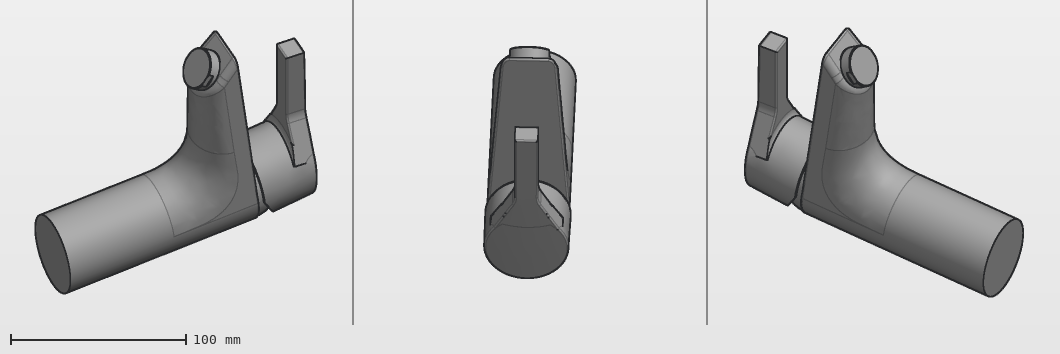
import cadquery as cq
import math

barrel_radius = 23.55
barrel_tilt = 5.0
barrel_length = 119.6
side_taper = 4.3
flat_side_depth = 10.4
spout_front_y = 87.2
throat_radius = 26.0
throat_steps = 6
throat_flat_bulge = 8.0
outlet_slope = 50.5
outlet_point = (106.6, 118.9)
outlet_edge_radius = 4.5
back_edge_radius = 1.0
section_reach = 85.0
neck_margin = 10.0
oversize = 200.0

aerator_radius = 11.9
aerator_length = 8.0
aerator_rise = 35.0
aerator_face_centre = (90.7, 109.8)
aerator_flat_width = 22.4
aerator_flat_length = 3.6
aerator_chamfer = 0.5

ball_radius = 23.0
ball_station = 118.5

handle_tilt = 9.5
handle_mouth_radius = 24.54
handle_back_radius = 24.1
handle_length = 42.0
handle_back_inset = 3.0
mouth_top = (120.3, 35.5)
mouth_kink = (122.4, 10.8)
mouth_bottom = (134.8, -11.8)
handle_back_y = 156.76
back_sag = 0.7
back_bow_radius = 270.0
back_trim_margin = 10.0
handle_back_edge_radius = 1.0
lever_top = 101.1
handle_top_z = 37.8
lever_width = 13.2
lever_front_y = 144.2
lever_edge_radius = 1.0
flare_angle = 29.0
flare_inset = 0.4
flare_radius = 12.0
heel_radius = 6.5
heel_overlap = 2.0


def tilted(along, across, tilt):
    """(Y, Z) of a point given along and across an axis tilted up toward +Y."""
    angle = math.radians(tilt)
    return (along * math.cos(angle) - across * math.sin(angle),
            along * math.sin(angle) + across * math.cos(angle))


def barrel_point(along, across):
    return tilted(along, across, barrel_tilt)


def barrel_coordinates(y, z):
    return tilted(y, z, -barrel_tilt)


def side_block(points):
    """Prism across the full width with the given (Y, Z) outline."""
    return cq.Workplane("YZ").polyline(points).close().extrude(oversize, both=True)


def axis_plane(y, z, tilt):
    """Plane whose normal runs along an axis tilted up toward +Y."""
    angle = math.radians(tilt)
    return cq.Plane(origin=(0, y, z), xDir=(1, 0, 0), normal=(0, math.cos(angle), math.sin(angle)))


def facing(y, z):
    """Selector for flat faces whose outward normal is (0, y, z)."""
    return cq.selectors.DirectionSelector(cq.Vector(0, y, z), 1e-3)


taper = math.radians(side_taper)
tangent_height = barrel_radius * math.sin(taper)
band_edge = barrel_length - flat_side_depth
throat_y = spout_front_y - throat_radius
throat_z = ((barrel_radius + throat_radius + throat_y * math.sin(math.radians(barrel_tilt)))
            / math.cos(math.radians(barrel_tilt)))
ball_centre = barrel_point(ball_station, 0)
throat_turn = 90 - barrel_tilt
throat_along = barrel_coordinates(throat_y, throat_z)[0]
barrel_flat_start = barrel_radius + throat_radius - tangent_height


def side_half_width(across):
    return (barrel_radius - across * math.sin(taper)) / math.cos(taper)


def spout_section(z, turn):
    """D-shaped wire: an elliptic front running tangent into the two flat sides.

    Its plane holds the X direction and a ray that leaves the throat line at height z,
    turned down from +Y by the given angle.
    """
    ray_y = math.cos(math.radians(turn))
    ray_z = -math.sin(math.radians(turn))
    across = barrel_coordinates(throat_y, z)[1]
    ray_across = barrel_coordinates(ray_y, ray_z)[1]

    def half_width(distance):
        return side_half_width(across + distance * ray_across)

    neck_flat_start = ((band_edge - barrel_coordinates(throat_y, z)[0])
                       / math.cos(math.radians(barrel_tilt)))
    progress = turn / throat_turn
    flat_start = (neck_flat_start + (barrel_flat_start - neck_flat_start) * progress
                  + throat_flat_bulge * math.sin(math.pi * progress) ** 2)
    depth = flat_start - throat_radius
    slope = -math.tan(taper) * ray_across
    end_sine = slope * depth / (half_width(flat_start) - slope * depth)
    end_angle = math.asin(end_sine)
    semi_width = half_width(flat_start) / math.cos(end_angle)
    semi_depth = depth / (1 - end_sine)
    end_degrees = math.degrees(end_angle)
    plane = cq.Plane(origin=(0, throat_y, z), xDir=(1, 0, 0), normal=(0, -ray_z, ray_y))
    back_width = half_width(section_reach)
    return (cq.Workplane(plane)
            .moveTo(back_width, section_reach)
            .lineTo(half_width(flat_start), flat_start)
            .ellipseArc(semi_width, semi_depth, end_degrees - 180, -end_degrees, sense=-1)
            .lineTo(-back_width, section_reach)
            .close()
            .val())


def make_spout():
    turns = [throat_turn * i / throat_steps for i in range(throat_steps + 1)]
    throat = cq.Solid.makeLoft([spout_section(throat_z, turn) for turn in turns], False)
    neck_top = outlet_point[1] + neck_margin
    neck = cq.Solid.makeLoft([spout_section(throat_z, 0), spout_section(neck_top, 0)], True)
    trim = side_block([barrel_point(throat_along, tangent_height),
                       barrel_point(barrel_length, tangent_height),
                       barrel_point(barrel_length, oversize),
                       barrel_point(throat_along, oversize)])
    spout = cq.Workplane(throat).union(cq.Workplane(neck)).intersect(trim)

    slope = math.radians(outlet_slope)
    y, z = outlet_point
    low = (y - oversize * math.cos(slope), z - oversize * math.sin(slope))
    high = (y + oversize * math.cos(slope), z + oversize * math.sin(slope))
    return spout.cut(side_block([low, high, (low[0], high[1])]))


def make_housing():
    start = -barrel_radius
    barrel = (cq.Workplane(axis_plane(*barrel_point(start, 0), barrel_tilt))
              .circle(barrel_radius).extrude(barrel_length - start))
    barrel = barrel.cut(cq.Workplane("XZ").rect(oversize, oversize).extrude(oversize))
    housing = barrel.union(make_spout())

    slope = math.radians(outlet_slope)
    outlet = housing.faces(facing(-math.sin(slope), math.cos(slope)))
    tip = outlet.edges(">Z").val()
    outlet_rim = [edge for edge in outlet.edges().vals() if not edge.isSame(tip)]
    housing = housing.newObject(outlet_rim).fillet(outlet_edge_radius)

    lean = math.radians(barrel_tilt)
    back_edges = housing.faces(facing(math.cos(lean), math.sin(lean))).edges().vals()
    spout_edges = [edge for edge in back_edges if edge.Center().z > barrel_radius]
    return housing.newObject(spout_edges).fillet(back_edge_radius)


def make_aerator():
    """Round cap with two side flats running in from its outer face."""
    face = axis_plane(*aerator_face_centre, -aerator_rise)
    rise = math.radians(aerator_rise)
    cap = (cq.Workplane(face).circle(aerator_radius).extrude(aerator_length)
           .faces(facing(-math.cos(rise), math.sin(rise))).chamfer(aerator_chamfer))
    flats = (cq.Workplane(face).rect(2 * aerator_radius, 2 * aerator_radius)
             .rect(aerator_flat_width, 2 * aerator_radius).extrude(aerator_flat_length))
    return cap.cut(flats)


def make_ball():
    """Part of a sphere standing on the back face of the barrel."""
    sphere = cq.Workplane("XY", origin=(0, *ball_centre)).sphere(ball_radius)
    behind_barrel = side_block([barrel_point(barrel_length, -oversize),
                                barrel_point(barrel_length, oversize),
                                barrel_point(oversize, oversize),
                                barrel_point(oversize, -oversize)])
    return sphere.intersect(behind_barrel)


def handle_point(along, across):
    """(Y, Z) of a point placed on the handle axis, measured from the ball centre."""
    y, z = tilted(along, across, handle_tilt)
    return (ball_centre[0] + y, ball_centre[1] + z)


handle_back_centre = handle_point(handle_length - handle_back_inset, 0)
flare = math.radians(flare_angle)
foot_radius = handle_back_radius - flare_inset
foot_x = foot_radius * math.cos(flare)
foot_z = handle_back_centre[1] + foot_radius * math.sin(flare)


def foot_outline():
    """XZ outline of the lever: upright bar flaring until it runs into the round handle."""
    half_width = lever_width / 2
    bend_z = foot_z + (foot_x - half_width) / math.tan(flare)
    reach = flare_radius * math.tan(flare / 2)
    bend_low = (half_width + reach * math.sin(flare), bend_z - reach * math.cos(flare))
    return (cq.Workplane("XZ")
            .moveTo(-half_width, lever_top)
            .lineTo(half_width, lever_top)
            .lineTo(half_width, bend_z + reach)
            .tangentArcPoint(bend_low, relative=False)
            .lineTo(foot_x, foot_z)
            .lineTo(0, handle_back_centre[1])
            .lineTo(-foot_x, foot_z)
            .lineTo(-bend_low[0], bend_low[1])
            .tangentArcPoint((-half_width, bend_z + reach), relative=False)
            .close())


def make_heel():
    """Concave round between the lever front and the top of the round handle."""
    run = (lever_front_y - ball_centre[0]) * math.tan(math.radians(handle_tilt))
    axis_z = ball_centre[1] + run
    radius = handle_top_z - axis_z
    descent = math.radians(handle_tilt)
    setback = heel_radius * math.tan((math.pi / 2 - descent) / 2)
    ring = (cq.Workplane("YZ", origin=(0, lever_front_y, axis_z))
            .moveTo(0, radius + setback)
            .radiusArc((-setback * math.cos(descent), radius - setback * math.sin(descent)),
                       heel_radius)
            .lineTo(-setback * math.cos(descent), 0)
            .lineTo(heel_overlap, 0)
            .lineTo(heel_overlap, radius + setback)
            .close()
            .revolve(360, (0, 0, 0), (1, 0, 0)))
    return ring.intersect(foot_outline().extrude(-oversize))


def make_back_trim():
    """Block whose +Y face bulges gently both across X and in height."""
    low_z = handle_back_centre[1] - handle_mouth_radius - back_trim_margin
    edge_distance = back_bow_radius - back_sag
    return (cq.Workplane("YZ", origin=(0, handle_back_y - back_bow_radius, 0))
            .moveTo(0, low_z)
            .lineTo(edge_distance, low_z)
            .threePointArc((back_bow_radius, (lever_top + low_z) / 2), (edge_distance, lever_top))
            .lineTo(0, lever_top)
            .close()
            .revolve(360, (0, 0, 0), (0, 1, 0)))


def make_mouth_trim():
    """Everything in front of the bent mouth of the handle."""
    def beyond(start, through):
        return (2 * through[0] - start[0], 2 * through[1] - start[1])

    top = beyond(mouth_kink, mouth_top)
    bottom = beyond(mouth_kink, mouth_bottom)
    return side_block([top, mouth_kink, bottom, (0, bottom[1]), (0, top[1])])


def make_lever():
    lever = (foot_outline().extrude(-oversize)
             .intersect(cq.Workplane("XZ", origin=(0, lever_front_y, 0))
                        .rect(2 * oversize, 2 * oversize).extrude(-oversize))
             .intersect(make_back_trim()))
    for side in ("<Y", ">Y"):
        rim = [edge for edge in lever.faces(side).edges().vals() if edge.Center().z > foot_z]
        lever = lever.newObject(rim).fillet(lever_edge_radius)
    return lever


def make_handle():
    body = (cq.Workplane(axis_plane(*handle_point(0, 0), handle_tilt))
            .circle(handle_mouth_radius)
            .workplane(offset=handle_length).circle(handle_back_radius)
            .loft()
            .intersect(make_back_trim())
            .faces(">Y").edges().fillet(handle_back_edge_radius))
    return body.union(make_lever()).union(make_heel()).cut(make_mouth_trim())


aerator = make_aerator()
ball = make_ball()
housing = make_housing().cut(aerator)
handle = make_handle().cut(ball)
result = cq.Compound.makeCompound([housing.val(), aerator.val(), ball.val(), handle.val()])